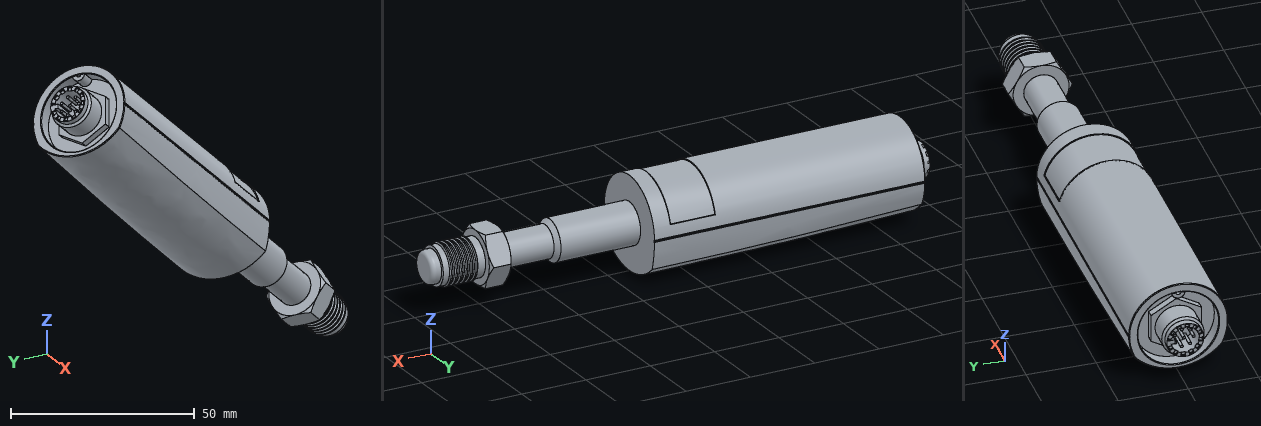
import cadquery as cq
import math


BASE_START = 1.9
HOUSING_START = 6.3
HOUSING_END = 90.6
TUBE_END = 116.8
NUT_START = 131.8
NUT_END = 138.5
THREAD_START = 140.7
NOSE_START = 151.7
TOTAL_LENGTH = 154.6

HOUSING_DIAMETER = 28.3
HOUSING_RADIUS = HOUSING_DIAMETER / 2
FRONT_CORNER = (12.5, -7.3)
FRONT_BOTTOM = -12.8
REAR_CORNER = (12.8, -9.0)
REAR_BOTTOM = -HOUSING_RADIUS
MIDDLE_TAPER = 0.25
FRONT_EDGE_CHAMFER = 0.23
SEAM_HEIGHT = 0.5
SEAM_DEPTH = 0.3
PANEL_START = 71.5
PANEL_END = 85.4
PANEL_LOWER_EDGE = 3.5
PANEL_DEPTH = 0.3

RECESS_DIAMETER = 23.0
RECESS_DEPTH = 4.2
RECESS_FLOOR = HOUSING_START + RECESS_DEPTH
HEXAGON_FLATS = 14.4
HEXAGON_THICKNESS = 2.2
KEY_DIAMETER = 3.7
KEY_HOLE_DIAMETER = 1.4

BASE_DIAMETER = 12.0
RIM_DIAMETER = 10.5
BASE_BEVEL = 0.5
SERRATION_DIAMETER = 9.9
SERRATIONS = 12
SERRATION_DEPTH = 0.5
SOCKET_DIAMETER = 8.0
SOCKET_DEPTH = 6.2
SOCKET_KEY_WIDTH = 1.2
SOCKET_KEY_HEIGHT = 1.1
PIN_DIAMETER = 0.8
PIN_LENGTH = 5.0
PIN_CIRCLE_DIAMETER = 5.5
OUTER_PINS = 7

TUBE_DIAMETER = 12.7
NECK_DIAMETER = 9.9
TUBE_CHAMFER = (TUBE_DIAMETER - NECK_DIAMETER) / 2
NUT_FLATS = 16.0
NUT_CHAMFER_ANGLE = 30
SHANK_DIAMETER = 11.8
THREAD_DIAMETER = 12.7
THREAD_PITCH = 1.5
THREAD_RIDGES = 6
CREST_WIDTH = 0.5
ROOT_WIDTH = 0.5
NOSE_ROUNDING = 1.4

CLEARANCE = 1.5


def section(x):
    """Plane across the part at x: local x is Y, local y is Z, and the normal is +X."""
    return cq.Workplane("YZ", origin=(x, 0, 0))


def cylinder(start, end, diameter):
    return section(start).circle(diameter / 2).extrude(end - start)


def hexagon(start, end, flats, first_corner_angle):
    """Hexagonal prism; the corner angle is measured from Y towards Z."""
    corner_diameter = flats / math.cos(math.pi / 6)
    prism = section(start).polygon(6, corner_diameter).extrude(end - start)
    return prism.rotate((0, 0, 0), (1, 0, 0), first_corner_angle)


def blend(rear, front, share):
    return rear + (front - rear) * share


def lower_outline(workplane, corner, bottom):
    """Lower half outline: sides leave the upper half tangentially, then a shallow arc closes the bottom."""
    corner_y, corner_z = corner
    inset = HOUSING_RADIUS - corner_y
    side_radius = (inset**2 + corner_z**2) / (2 * inset)
    return (
        workplane.moveTo(HOUSING_RADIUS, 0)
        .radiusArc((corner_y, corner_z), side_radius)
        .threePointArc((0, bottom), (-corner_y, corner_z))
        .radiusArc((-HOUSING_RADIUS, 0), side_radius)
        .close()
    )


def make_housing():
    length = HOUSING_END - HOUSING_START
    upper = (
        section(HOUSING_START)
        .moveTo(HOUSING_RADIUS, 0)
        .threePointArc((0, HOUSING_RADIUS), (-HOUSING_RADIUS, 0))
        .close()
        .extrude(length)
    )
    lower = section(HOUSING_START)
    for step, taper in ((0, 1), (length / 2, MIDDLE_TAPER), (length / 2, 0)):
        corner_y = blend(REAR_CORNER[0], FRONT_CORNER[0], taper)
        corner_z = blend(REAR_CORNER[1], FRONT_CORNER[1], taper)
        bottom = blend(REAR_BOTTOM, FRONT_BOTTOM, taper)
        lower = lower_outline(lower.workplane(offset=step), (corner_y, corner_z), bottom)
    housing = upper.union(lower.loft())
    housing = housing.faces("<X").chamfer(FRONT_EDGE_CHAMFER)

    for side in (-1, 1):
        seam = section(HOUSING_START).center(side * HOUSING_RADIUS, -SEAM_HEIGHT / 2)
        housing = housing.cut(seam.rect(2 * SEAM_DEPTH, SEAM_HEIGHT).extrude(length))

    panel_length = PANEL_END - PANEL_START
    panel = (
        section(PANEL_START)
        .circle(HOUSING_RADIUS + CLEARANCE)
        .circle(HOUSING_RADIUS - PANEL_DEPTH)
        .extrude(panel_length)
    )
    above_edge = (
        section(PANEL_START)
        .center(0, PANEL_LOWER_EDGE + HOUSING_RADIUS)
        .rect(2 * HOUSING_DIAMETER, HOUSING_DIAMETER)
        .extrude(panel_length)
    )
    return housing.cut(panel.intersect(above_edge))


def cut_recess(housing):
    """Round recess around the plug, with a half-round key left standing at its top."""
    recess = cylinder(HOUSING_START, RECESS_FLOOR, RECESS_DIAMETER)
    key = section(HOUSING_START).center(0, RECESS_DIAMETER / 2)
    key = key.circle(KEY_DIAMETER / 2).circle(KEY_HOLE_DIAMETER / 2).extrude(RECESS_DEPTH)
    housing = housing.cut(recess)
    recess_rim = housing.faces("<X").edges("%CIRCLE").edges(cq.selectors.RadiusNthSelector(0))
    housing = recess_rim.chamfer(FRONT_EDGE_CHAMFER)
    return housing.union(key.intersect(recess))


def wedge(start_angle, opening):
    """Pie-shaped sector around the X axis, as deep as a serration and wider than the plug."""
    angles = (math.radians(start_angle), math.radians(start_angle + opening))
    corners = [(BASE_DIAMETER * math.cos(angle), BASE_DIAMETER * math.sin(angle)) for angle in angles]
    return section(0).polyline([(0, 0)] + corners).close().extrude(SERRATION_DEPTH)


def make_plug():
    hexagon_start = RECESS_FLOOR - HEXAGON_THICKNESS
    bevel_width = (BASE_DIAMETER - RIM_DIAMETER) / 2
    plug = cylinder(BASE_START, RECESS_FLOOR, BASE_DIAMETER)
    plug = plug.faces("<X").edges().chamfer(BASE_BEVEL, bevel_width)
    plug = plug.union(cylinder(0, BASE_START, RIM_DIAMETER))
    plug = plug.union(hexagon(hexagon_start, RECESS_FLOOR, HEXAGON_FLATS, 90))
    plug = plug.cut(cylinder(0, SOCKET_DEPTH, SOCKET_DIAMETER))

    for index in range(SERRATIONS):
        sector = 360 / SERRATIONS
        notch = cylinder(0, SERRATION_DEPTH, SERRATION_DIAMETER)
        plug = plug.cut(notch.intersect(wedge(index * sector, sector / 2)))

    key = section(0).center(SOCKET_DIAMETER / 2, 0).rect(2 * SOCKET_KEY_HEIGHT, SOCKET_KEY_WIDTH)
    socket = cylinder(0, SOCKET_DEPTH, RIM_DIAMETER)
    plug = plug.union(key.extrude(SOCKET_DEPTH).intersect(socket))

    pins = section(SOCKET_DEPTH - PIN_LENGTH).circle(PIN_DIAMETER / 2)
    pins = pins.polarArray(PIN_CIRCLE_DIAMETER / 2, 180, 360, OUTER_PINS).circle(PIN_DIAMETER / 2)
    return plug.union(pins.extrude(PIN_LENGTH))


def make_nut():
    """Hexagon nut with its corners turned off conically at both ends."""
    nut = hexagon(NUT_START, NUT_END, NUT_FLATS, 0)
    corner_radius = NUT_FLATS / math.sqrt(3)
    corner_height = corner_radius - NUT_FLATS / 2
    chamfer_length = corner_height * math.tan(math.radians(NUT_CHAMFER_ANGLE))
    envelope = cylinder(NUT_START, NUT_END, 2 * corner_radius)
    envelope = envelope.edges("%CIRCLE").chamfer(chamfer_length, corner_height)
    return nut.intersect(envelope)


def make_thread():
    """Thread shown as a row of closed ridges on the shank."""
    root = SHANK_DIAMETER / 2
    crest = THREAD_DIAMETER / 2
    outline = cq.Workplane("XZ").moveTo(THREAD_START, 0).lineTo(THREAD_START, root)
    for ridge in range(THREAD_RIDGES):
        start = THREAD_START + ridge * THREAD_PITCH
        middle = start + THREAD_PITCH / 2
        end = start + THREAD_PITCH
        outline = (
            outline.lineTo(start + ROOT_WIDTH / 2, root)
            .lineTo(middle - CREST_WIDTH / 2, crest)
            .lineTo(middle + CREST_WIDTH / 2, crest)
            .lineTo(end - ROOT_WIDTH / 2, root)
        )
    thread_end = THREAD_START + THREAD_RIDGES * THREAD_PITCH
    outline = outline.lineTo(thread_end, root).lineTo(thread_end, 0).close()
    return outline.revolve(360, (0, 0, 0), (1, 0, 0))


def make_probe():
    tube = cylinder(HOUSING_END, TUBE_END, TUBE_DIAMETER).faces(">X").chamfer(TUBE_CHAMFER)
    neck = cylinder(TUBE_END, NUT_START, NECK_DIAMETER)
    shank = cylinder(NUT_END, NOSE_START, SHANK_DIAMETER)
    nose = cylinder(NOSE_START, TOTAL_LENGTH, NECK_DIAMETER)
    nose = nose.faces(">X").edges().fillet(NOSE_ROUNDING)
    return tube.union(neck).union(make_nut()).union(shank).union(make_thread()).union(nose)


result = cut_recess(make_housing()).union(make_plug()).union(make_probe())